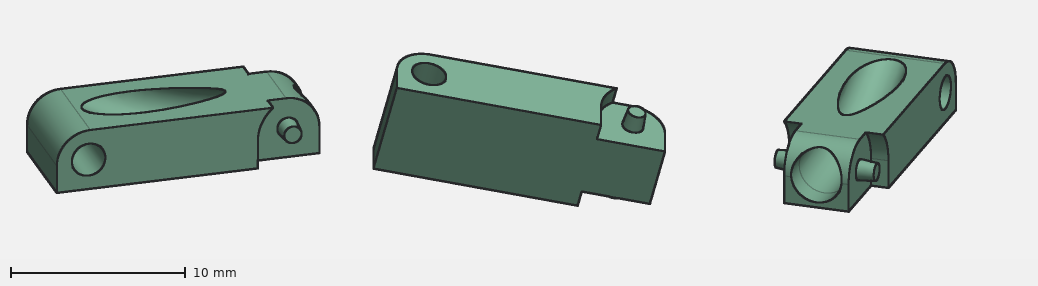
import cadquery as cq
import math

width = 6.0
length = 16.0
height = 3.7
end_radius = 2.0
shoulder_height = height - end_radius

pivot_inset = 1.9
pivot_height = height / 2
hole_diameter = 2.0
pin_root_diameter = 1.24
pin_tip_diameter = 1.04

tongue_width = 3.9
tongue_length = 4.0
tongue_top_length = 3.08
tongue_step = (width - tongue_width) / 2

passage_radius = 1.53
passage_height = pivot_height
passage_level_length = 1.45
bend_radius = 22.0
bend_angle = 40.0


def make_body():
    block = cq.Workplane("XY").box(width, length, height, centered=(True, False, False))
    return block.faces(">Z").edges("|X").fillet(end_radius)


def make_pivot_hole():
    side_plane = cq.Workplane("YZ", origin=(-width / 2, pivot_inset, pivot_height))
    return side_plane.circle(hole_diameter / 2).extrude(width)


def make_shoulder_cut(side):
    """Material removed beside the tongue, on side -1 or +1."""
    overhang = tongue_length - tongue_top_length
    arc_radius = (overhang**2 + end_radius**2) / (2 * overhang)
    half_sweep = math.asin(end_radius / arc_radius) / 2
    foot_y = length - tongue_length
    arc_middle = (
        foot_y + arc_radius * (1 - math.cos(half_sweep)),
        shoulder_height + arc_radius * math.sin(half_sweep),
    )
    return (
        cq.Workplane("YZ", origin=(side * tongue_width / 2, 0, 0))
        .moveTo(length, 0)
        .lineTo(foot_y, 0)
        .lineTo(foot_y, shoulder_height)
        .threePointArc(arc_middle, (length - tongue_top_length, height))
        .lineTo(length, height)
        .close()
        .extrude(side * tongue_step)
    )


def make_pin(side):
    """Tapered pin from the tongue out to the side of the body."""
    return cq.Workplane(
        cq.Solid.makeCone(
            pin_root_diameter / 2,
            pin_tip_diameter / 2,
            tongue_step,
            pnt=cq.Vector(side * tongue_width / 2, length - pivot_inset, pivot_height),
            dir=cq.Vector(side, 0, 0),
        )
    )


def make_passage():
    back_plane = cq.Workplane("XZ", origin=(0, length, passage_height))
    level_part = back_plane.circle(passage_radius).extrude(passage_level_length)
    bend_plane = cq.Workplane("XZ", origin=(0, length - passage_level_length, passage_height))
    bend_part = bend_plane.circle(passage_radius).revolve(bend_angle, (1, bend_radius), (-1, bend_radius))
    return level_part.union(bend_part)


result = make_body().cut(make_pivot_hole())
for side in (-1, 1):
    result = result.cut(make_shoulder_cut(side)).union(make_pin(side))
result = result.cut(make_passage())